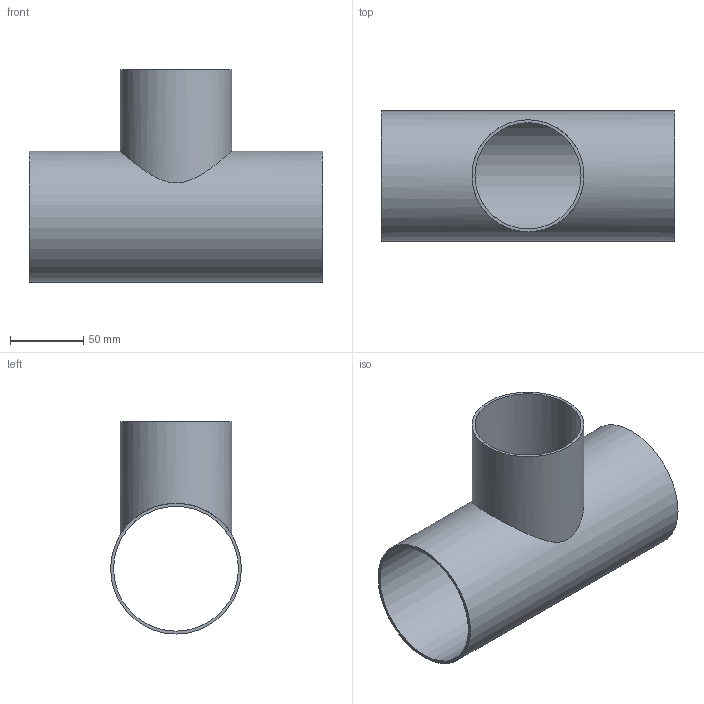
import cadquery as cq

run_length = 200.0
run_outer_diameter = 89.1
branch_outer_diameter = 76.3
wall_thickness = 2.0
branch_height = 100.0

run_inner_diameter = run_outer_diameter - 2 * wall_thickness
branch_inner_diameter = branch_outer_diameter - 2 * wall_thickness


def run_cylinder(diameter):
    """Solid cylinder along X, centred on the origin."""
    return cq.Workplane("YZ").circle(diameter / 2).extrude(run_length / 2, both=True)


def branch_cylinder(diameter):
    """Solid cylinder rising along Z from the run axis to the branch end."""
    return cq.Workplane("XY").circle(diameter / 2).extrude(branch_height)


outer_body = run_cylinder(run_outer_diameter).union(branch_cylinder(branch_outer_diameter))
bore = run_cylinder(run_inner_diameter).union(branch_cylinder(branch_inner_diameter))

result = outer_body.cut(bore)